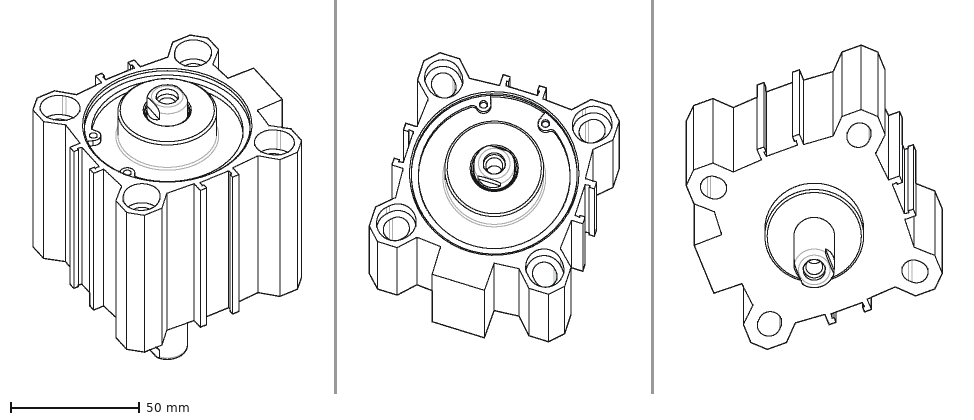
import cadquery as cq
import math

OVERALL_LENGTH = 132.0
HOUSING_HEIGHT = 72.0
HALF_WIDTH = 40.0
ROD_TOP_REACH = 15.0
ROD_BOTTOM_REACH = OVERALL_LENGTH - HOUSING_HEIGHT - ROD_TOP_REACH

BOSS_FLAT_INNER = 26.9
BOSS_FLAT_OUTER = 35.0
BOSS_ROOT = 20.9
BOLT_PITCH_HALF = 30.4
BOLT_SLOT_WIDTH = 9.0
COUNTERBORE_WIDTH = 14.3
SLOT_STRETCH = 1.3
COUNTERBORE_DEPTH = 10.0

WALL_AT_BOSS = 33.7
WALL_AT_RAIL = 34.5
RAIL_TIP = 39.1
RAIL_OUTER = 8.8
RAIL_LIP = 6.0
RAIL_LIP_THICKNESS = 2.1
RAIL_UNDERCUT = 6.7
CHANNEL_HALF_WIDTH = 6.5
CHANNEL_FLOOR = 35.1
BLOCK_REACH = 46.1
BLOCK_TIP_HALF_WIDTH = 10.7
BLOCK_ROOT_HALF_WIDTH = 11.0

BORE_DIA = 64.7
BORE_CHAMFER = 0.7
COVER_FACE_DEPTH = 5.5
COVER_THICKNESS = 13.2
COLLAR_DIA = 38.5
COLLAR_HEIGHT = 7.9
COLLAR_CHAMFER = 0.9
COLLAR_FOOT_FILLET = 0.8
RING_OUTER_DIA = 68.2
RING_INNER_DIA = 59.1
RING_THICKNESS = 2.6
LUG_X = 12.7
LUG_Y = -26.0
LUG_DIA = 5.8
LUG_HOLE_DIA = 3.0
LUG_FILLET = 2.1

ENTRY_DIA = 17.7
ENTRY_DEPTH = 2.0
ENTRY_CHAMFER = 0.5
SEAL_DIA = 20.3
SEAL_HEIGHT = 2.6
SEAL_LIP_DIA = 16.5

ROD_DIA = 16.0
ROD_FILLET = 1.8
FLAT_SPACING = 13.0
FLAT_LENGTH = 5.4
THREAD_RELIEF_DIA = 8.6
THREAD_RELIEF_DEPTH = 2.6
THREAD_DIA = 6.6
THREAD_DEPTH = 15.8
THREAD_TIP_HEIGHT = 0.5

COVER_FACE_Z = HOUSING_HEIGHT - COVER_FACE_DEPTH
COVER_BOTTOM_Z = COVER_FACE_Z - COVER_THICKNESS
COLLAR_TOP_Z = HOUSING_HEIGHT + COLLAR_HEIGHT
SEAL_TOP_Z = COLLAR_TOP_Z - ENTRY_DEPTH
SEAL_BOTTOM_Z = SEAL_TOP_Z - SEAL_HEIGHT
ROD_TOP_Z = HOUSING_HEIGHT + ROD_TOP_REACH


def disc(diameter, bottom_z, top_z):
    """Cylinder on the Z axis between two heights."""
    return cq.Workplane("XY").workplane(offset=bottom_z).circle(diameter / 2).extrude(top_z - bottom_z)


def cone(bottom_dia, top_dia, bottom_z, top_z):
    """Cone frustum on the Z axis; one end may be a point."""
    return cq.Workplane("XY").add(
        cq.Solid.makeCone(bottom_dia / 2, top_dia / 2, top_z - bottom_z, pnt=cq.Vector(0, 0, bottom_z))
    )


def mouth_chamfer(hole_dia, size, top_z):
    """Cutter for a 45 degree chamfer at the upper mouth of a hole on the Z axis."""
    return cone(hole_dia, hole_dia + 2 * size, top_z - size, top_z)


def half_boss():
    """Corner boss edge at the left end of the -Y side, from its flat to the side wall."""
    return [
        (-BOSS_FLAT_OUTER, -HALF_WIDTH),
        (-BOSS_FLAT_INNER, -HALF_WIDTH),
        (-BOSS_ROOT, -WALL_AT_BOSS),
    ]


def railed_side():
    """Left half of a side with two sensor rails, placed as the -Y side."""
    lip_back = RAIL_TIP - RAIL_LIP_THICKNESS
    return half_boss() + [
        (-RAIL_OUTER, -WALL_AT_RAIL),
        (-RAIL_OUTER, -RAIL_TIP),
        (-RAIL_LIP, -RAIL_TIP),
        (-RAIL_LIP, -lip_back),
        (-RAIL_UNDERCUT, -lip_back),
        (-CHANNEL_HALF_WIDTH, -CHANNEL_FLOOR),
    ]


def block_side():
    """Left half of the side with the block, placed as the -Y side before it is turned to +Y."""
    return half_boss() + [
        (-BLOCK_ROOT_HALF_WIDTH, -WALL_AT_RAIL),
        (-BLOCK_TIP_HALF_WIDTH, -BLOCK_REACH),
    ]


def housing_outline():
    """Four sides in turn, counter-clockwise from -Y; the +Y side carries the block."""
    points = []
    for quarter_turns in range(4):
        half = block_side() if quarter_turns == 2 else railed_side()
        side = half + [(-x, y) for x, y in reversed(half)]
        for _ in range(quarter_turns):
            side = [(-y, x) for x, y in side]
        points += side
    return points


def collar(base_z, outward):
    """Collar around the rod, standing on base_z and pointing up (1) or down (-1)."""
    blank = disc(COLLAR_DIA, 0, COLLAR_HEIGHT).faces(">Z").chamfer(COLLAR_CHAMFER)
    if outward < 0:
        blank = blank.mirror("XY")
    return blank.translate((0, 0, base_z))


def bolt_hole(side_x, side_y):
    """Counterbored through slot of one corner boss, stretched along the diagonal of the housing."""
    centre = (side_x * BOLT_PITCH_HALF, side_y * BOLT_PITCH_HALF, 0)
    plane = cq.Workplane("XY", origin=centre)
    diagonal = 45 * side_x * side_y
    slot = plane.slot2D(BOLT_SLOT_WIDTH + SLOT_STRETCH, BOLT_SLOT_WIDTH, diagonal).extrude(HOUSING_HEIGHT)
    counterbore = (
        plane.workplane(offset=HOUSING_HEIGHT - COUNTERBORE_DEPTH)
        .slot2D(COUNTERBORE_WIDTH + SLOT_STRETCH, COUNTERBORE_WIDTH, diagonal).extrude(COUNTERBORE_DEPTH)
    )
    return slot.union(counterbore)


def make_housing():
    body = cq.Workplane("XY").polyline(housing_outline()).close().extrude(HOUSING_HEIGHT)
    body = body.union(collar(0, -1))
    for side_x in (-1, 1):
        for side_y in (-1, 1):
            body = body.cut(bolt_hole(side_x, side_y))
    body = body.cut(disc(BORE_DIA, COVER_BOTTOM_Z, HOUSING_HEIGHT))
    body = body.cut(mouth_chamfer(BORE_DIA, BORE_CHAMFER, HOUSING_HEIGHT))
    body = body.cut(disc(RING_OUTER_DIA, COVER_FACE_Z, COVER_FACE_Z + RING_THICKNESS))
    return body.cut(disc(ROD_DIA, -COLLAR_HEIGHT, HOUSING_HEIGHT))


def foot_fillet():
    """Concave ring that blends the collar into the cover face."""
    collar_radius = COLLAR_DIA / 2
    foot_radius = collar_radius + COLLAR_FOOT_FILLET
    fillet_top_z = COVER_FACE_Z + COLLAR_FOOT_FILLET
    arc_middle = COLLAR_FOOT_FILLET * (1 - math.sqrt(0.5))
    return (
        cq.Workplane("XZ")
        .moveTo(collar_radius, COVER_FACE_Z)
        .lineTo(foot_radius, COVER_FACE_Z)
        .threePointArc(
            (collar_radius + arc_middle, COVER_FACE_Z + arc_middle),
            (collar_radius, fillet_top_z),
        )
        .close().revolve(360, (0, 0, 0), (0, 1, 0))
    )


def make_cover():
    plug = disc(BORE_DIA, COVER_BOTTOM_Z, COVER_FACE_Z)
    neck = disc(COLLAR_DIA, COVER_FACE_Z, HOUSING_HEIGHT)
    body = plug.union(neck).union(foot_fillet()).union(collar(HOUSING_HEIGHT, 1))
    body = body.cut(disc(ROD_DIA, COVER_BOTTOM_Z, SEAL_BOTTOM_Z))
    body = body.cut(disc(SEAL_DIA, SEAL_BOTTOM_Z, SEAL_TOP_Z))
    body = body.cut(disc(ENTRY_DIA, SEAL_TOP_Z, COLLAR_TOP_Z))
    return body.cut(mouth_chamfer(ENTRY_DIA, ENTRY_CHAMFER, COLLAR_TOP_Z))


def make_rod_seal():
    """Ring that fills its groove in the cover and hugs the rod with a bevelled lip."""
    bevel = (SEAL_LIP_DIA - ROD_DIA) / 2
    seal = disc(SEAL_DIA, SEAL_BOTTOM_Z, SEAL_TOP_Z).cut(disc(ROD_DIA, SEAL_BOTTOM_Z, SEAL_TOP_Z))
    return seal.cut(cone(ROD_DIA, SEAL_LIP_DIA, SEAL_TOP_Z - bevel, SEAL_TOP_Z))


def make_retaining_ring():
    top_z = COVER_FACE_Z + RING_THICKNESS
    plane = cq.Workplane("XY").workplane(offset=COVER_FACE_Z)
    ring = disc(RING_OUTER_DIA, COVER_FACE_Z, top_z).cut(disc(RING_INNER_DIA, COVER_FACE_Z, top_z))

    lug_radius = LUG_DIA / 2
    inner_radius = RING_INNER_DIA / 2
    lug_distance = math.hypot(LUG_X, LUG_Y)
    lug_angle = math.atan2(LUG_X, -LUG_Y)
    gap_angle = lug_angle - math.asin(lug_radius / lug_distance)
    gap_half_width = RING_OUTER_DIA * math.tan(gap_angle)
    gap = plane.polyline(
        [(0, 0), (-gap_half_width, -RING_OUTER_DIA), (gap_half_width, -RING_OUTER_DIA)]
    ).close().extrude(RING_THICKNESS)
    lugs = [(-LUG_X, LUG_Y), (LUG_X, LUG_Y)]
    ring = ring.cut(gap).union(plane.pushPoints(lugs).circle(lug_radius).extrude(RING_THICKNESS))

    crossing_cosine = (inner_radius**2 + lug_distance**2 - lug_radius**2) / (2 * inner_radius * lug_distance)
    corner_angle = lug_angle + math.acos(crossing_cosine)
    corner_x = inner_radius * math.sin(corner_angle)
    corner_y = -inner_radius * math.cos(corner_angle)
    for side in (-1, 1):
        corner = (side * corner_x, corner_y, COVER_FACE_Z + RING_THICKNESS / 2)
        ring = ring.edges(cq.selectors.NearestToPointSelector(corner)).fillet(LUG_FILLET)
    return ring.cut(plane.pushPoints(lugs).circle(LUG_HOLE_DIA / 2).extrude(RING_THICKNESS))


def rod_flat_cut(side):
    """Wrench flat at the top rod end with a 45 degree run-out; side is -1 or 1 along Y."""
    flat_y = FLAT_SPACING / 2
    run_out = ROD_DIA - flat_y
    flat_z = ROD_TOP_Z - FLAT_LENGTH
    return (
        cq.Workplane("YZ").workplane(offset=-ROD_DIA)
        .polyline([
            (side * flat_y, ROD_TOP_Z),
            (side * flat_y, flat_z),
            (side * ROD_DIA, flat_z - run_out),
            (side * ROD_DIA, ROD_TOP_Z),
        ])
        .close().extrude(2 * ROD_DIA)
    )


def rod_end_cuts():
    """Wrench flats and threaded hole of the top rod end."""
    relief_z = ROD_TOP_Z - THREAD_RELIEF_DEPTH
    step = (THREAD_RELIEF_DIA - THREAD_DIA) / 2
    hole_z = ROD_TOP_Z - THREAD_DEPTH
    cuts = disc(THREAD_RELIEF_DIA, relief_z, ROD_TOP_Z)
    cuts = cuts.union(cone(THREAD_DIA, THREAD_RELIEF_DIA, relief_z - step, relief_z))
    cuts = cuts.union(disc(THREAD_DIA, hole_z, relief_z))
    cuts = cuts.union(cone(0, THREAD_DIA, hole_z - THREAD_TIP_HEIGHT, hole_z))
    return cuts.union(rod_flat_cut(-1)).union(rod_flat_cut(1))


def make_rod():
    rod = disc(ROD_DIA, -ROD_BOTTOM_REACH, ROD_TOP_Z).edges("%CIRCLE").fillet(ROD_FILLET)
    middle_z = (ROD_TOP_Z - ROD_BOTTOM_REACH) / 2
    top_cuts = rod_end_cuts()
    return rod.cut(top_cuts).cut(top_cuts.mirror("XY", (0, 0, middle_z)))


housing = make_housing()
cover = make_cover()
retaining_ring = make_retaining_ring()
rod_seal = make_rod_seal()
rod = make_rod()

result = cq.Compound.makeCompound(
    [housing.val(), cover.val(), retaining_ring.val(), rod_seal.val(), rod.val()]
)